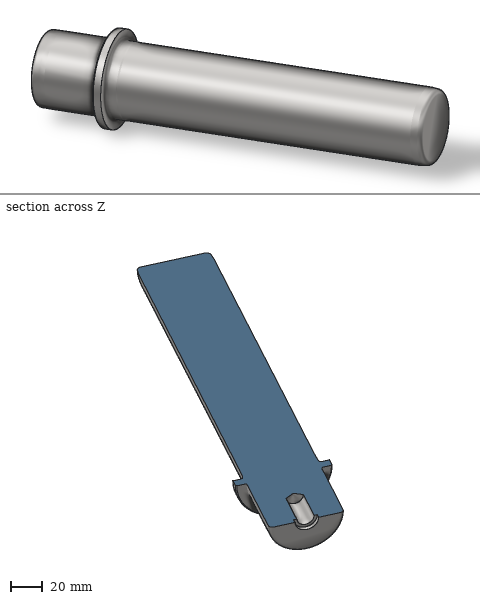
import cadquery as cq

length = 265.0
flange_radius = 32.0
shaft_radius = 25.0

front_face = -length / 2
back_face = length / 2
flange_front = front_face + 45.0
flange_back = flange_front + 5.8
flange_chamfer = 0.8
front_root_fillet = 0.8
back_root_fillet = 2.0

collar_radius = shaft_radius + 0.13
collar_end = front_face + 58.5
collar_step_length = 1.0

front_taper_length = 9.8
front_taper_drop = 0.13
front_fillet = 2.6
back_taper_length = 7.2
back_taper_drop = 0.8
back_fillet = 3.2

counterbore_radius = 7.7
counterbore_depth = 2.6
hole_radius = 5.5
hole_depth = 23.8
drill_tip_length = 3.2


def make_body():
    """Revolve the stepped outline about X, then round the two ends."""
    profile = (
        cq.Workplane("XY")
        .moveTo(front_face, 0)
        .lineTo(front_face, shaft_radius - front_taper_drop)
        .lineTo(front_face + front_taper_length, shaft_radius)
        .lineTo(flange_front - front_root_fillet, shaft_radius)
        .radiusArc((flange_front, shaft_radius + front_root_fillet), -front_root_fillet)
        .lineTo(flange_front, flange_radius - flange_chamfer)
        .lineTo(flange_front + flange_chamfer, flange_radius)
        .lineTo(flange_back, flange_radius)
        .lineTo(flange_back, collar_radius + back_root_fillet)
        .radiusArc((flange_back + back_root_fillet, collar_radius), -back_root_fillet)
        .lineTo(collar_end, collar_radius)
        .lineTo(collar_end + collar_step_length, shaft_radius)
        .lineTo(back_face - back_taper_length, shaft_radius)
        .lineTo(back_face, shaft_radius - back_taper_drop)
        .lineTo(back_face, 0)
        .close()
    )
    body = profile.revolve(360, (0, 0, 0), (1, 0, 0))
    return body.faces("<X").edges().fillet(front_fillet).faces(">X").edges().fillet(back_fillet)


def make_center_hole():
    """Counterbore, drilled bore and conical drill tip, revolved about X."""
    counterbore_floor = front_face + counterbore_depth
    bore_end = front_face + hole_depth
    profile = (
        cq.Workplane("XY")
        .moveTo(front_face, 0)
        .lineTo(front_face, counterbore_radius)
        .lineTo(counterbore_floor, counterbore_radius)
        .lineTo(counterbore_floor, hole_radius)
        .lineTo(bore_end, hole_radius)
        .lineTo(bore_end + drill_tip_length, 0)
        .close()
    )
    return profile.revolve(360, (0, 0, 0), (1, 0, 0))


result = make_body().cut(make_center_hole())